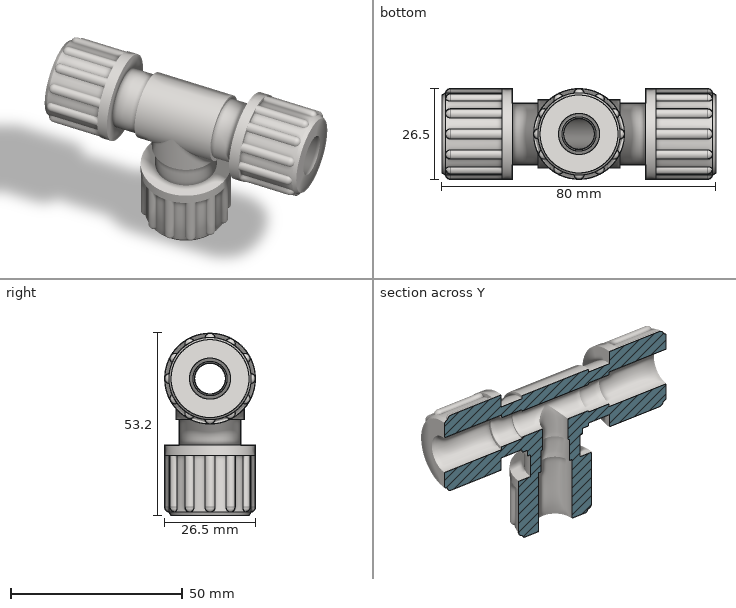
import cadquery as cq

arm_length = 40.0

body_diameter = 20.0
body_reach = 12.0
neck_diameter = 18.0

flange_diameter = 26.5
flange_start = 19.4
flange_thickness = 3.0
cap_diameter = 24.0
cap_edge_length = 1.0
cap_edge_depth = 0.6

rib_count = 12
rib_diameter = 3.0

cap_bore_diameter = 12.0
neck_bore_diameter = 10.0
body_bore_diameter = 9.0

flange_end = flange_start + flange_thickness
rib_radius = rib_diameter / 2
rib_circle_radius = flange_diameter / 2 - rib_radius
rib_tip = arm_length - cap_edge_length


def cylinder(diameter, start, end):
    """Cylinder on the Z axis between two heights."""
    return cq.Workplane("XY").workplane(offset=start).circle(diameter / 2).extrude(end - start)


def grip_rib():
    """One round rib with a domed tip, running from the flange towards the cap end."""
    dome_center = rib_tip - rib_radius
    rib = cylinder(rib_diameter, flange_start, dome_center)
    dome = cq.Workplane("XY").sphere(rib_radius).translate((0, 0, dome_center))
    return rib.union(dome).translate((rib_circle_radius, 0, 0))


def cap_nut():
    """Flanged cap with a bevelled outer end and a ring of grip ribs."""
    cap = cylinder(cap_diameter, flange_start, arm_length)
    cap = cap.faces(">Z").chamfer(cap_edge_length, cap_edge_depth)
    cap = cap.union(cylinder(flange_diameter, flange_start, flange_end))
    rib = grip_rib()
    for index in range(rib_count):
        cap = cap.union(rib.rotate((0, 0, 0), (0, 0, 1), index * 360 / rib_count))
    return cap


def solid_arm():
    """One arm along +Z, without its passage."""
    body = cylinder(body_diameter, 0, body_reach)
    neck = cylinder(neck_diameter, 0, flange_start)
    return body.union(neck).union(cap_nut())


def arm_passage():
    """Passage of one arm, widening at the neck and again at the cap."""
    passage = cylinder(body_bore_diameter, 0, arm_length)
    passage = passage.union(cylinder(neck_bore_diameter, body_reach, arm_length))
    return passage.union(cylinder(cap_bore_diameter, flange_start, arm_length))


def tee(arm):
    """Copies of an arm along -X, +X and -Z, joined at the centre."""
    left, right, down = [arm.rotate((0, 0, 0), (0, 1, 0), angle) for angle in (-90, 90, 180)]
    return left.union(right).union(down)


result = tee(solid_arm()).cut(tee(arm_passage()))